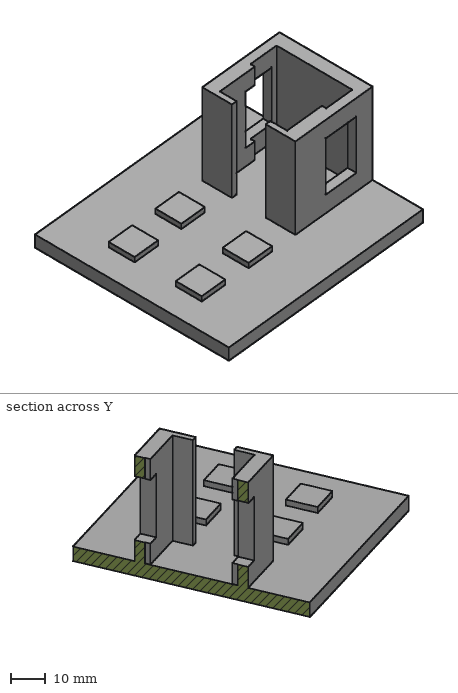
import cadquery as cq

plate_width = 75.0
plate_length = 83.0
plate_thickness = 5.0
total_height = 40.0

tower_width = 36.0
tower_depth = 33.0
tower_height = total_height - plate_thickness
back_wall = 5.0
front_lip = 2.0
wide_cavity_width = 29.3
wide_cavity_depth = 11.1
narrow_cavity_width = 26.0
front_gap = 13.0

window_margin = 7.0
window_length = 13.0
window_height = tower_height - 2 * window_margin

pad_size = 10.05
pad_height = 2.0
pad_pitch_y = 20.0
tower_to_pad = 10.0

back_y = plate_length / 2
tower_front_y = back_y - tower_depth


def block(width, y_back, y_front, z_bottom, height, x_center=0):
    """Box centred on x_center that spans y_front to y_back."""
    return (
        cq.Workplane("XY")
        .box(width, y_back - y_front, height, centered=(True, False, False))
        .translate((x_center, y_front, z_bottom))
    )


def make_tower():
    def cavity(width, y_back, y_front):
        return block(width, y_back, y_front, plate_thickness, tower_height)

    cavity_back_y = back_y - back_wall
    step_y = cavity_back_y - wide_cavity_depth
    lip_y = tower_front_y + front_lip
    window_back_y = back_y - window_margin

    tower = block(tower_width, back_y, tower_front_y, plate_thickness, tower_height)
    tower = tower.cut(cavity(wide_cavity_width, cavity_back_y, step_y))
    tower = tower.cut(cavity(narrow_cavity_width, step_y, lip_y))
    tower = tower.cut(cavity(front_gap, lip_y, tower_front_y))
    window = block(
        tower_width,
        window_back_y,
        window_back_y - window_length,
        plate_thickness + window_margin,
        window_height,
    )
    return tower.cut(window)


def add_pads(body):
    pad_x = (tower_width - pad_size) / 2
    for row in range(2):
        pad_back_y = tower_front_y - tower_to_pad - row * pad_pitch_y
        for x in (-pad_x, pad_x):
            pad = block(pad_size, pad_back_y, pad_back_y - pad_size, plate_thickness, pad_height, x)
            body = body.union(pad)
    return body


plate = block(plate_width, back_y, -back_y, 0, plate_thickness)
result = add_pads(plate.union(make_tower()))